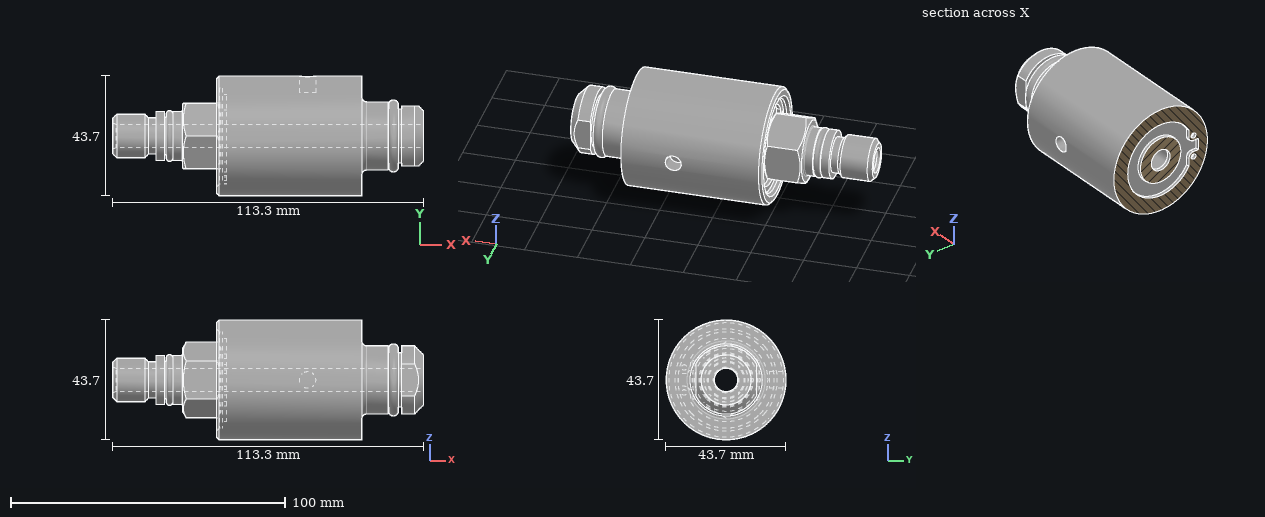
import cadquery as cq
import math


bore_dia = 8.5
mouth_dia = 9.4
mouth_depth = 1.2
total_length = 113.29

thread_dia = 15.96
neck_dia = 13.3
thread_chamfer = (thread_dia - neck_dia) / 2
tip_chamfer = 1.5
collar_dia = 17.99
rotor_groove_dia = 13.78
rotor_ring_width = 2.4
rotor_ring_dia = rotor_groove_dia + 2 * rotor_ring_width
thread_end = 13.05
collar_start = 15.7
rotor_groove_start = 18.9
rotor_groove_end = 21.9
hex_start = 25.4
hex_end = 39.5
collar_fillet = 0.4
hex_flats = 24.0
hex_corners = hex_flats / math.cos(math.pi / 6)
hex_face_dia = 22.9
hub_dia = 19.0
hex_chamfer_angle = math.radians(30)

drum_dia = 43.74
drum_start = 37.75
drum_chamfer = 1.0
drum_end = 90.8
recess_mouth_dia = 37.25
recess_dia = 35.08
recess_chamfer = (recess_mouth_dia - recess_dia) / 2
recess_depth = 3.75
recess_floor = drum_start + recess_depth
spigot_dia = 24.95
spigot_fillet = 1.75
housing_groove_dia = 19.84
housing_ring_width = 3.6
housing_ring_dia = 26.35
housing_groove_start = 100.4
housing_groove_end = 105.3
housing_ring_center = 102.3
nose_start = 110.0
nose_end_dia = 18.25
spigot_flats = 22.0
port_dia = 6.0
port_depth = 6.0
port_station = 71.0

clip_thickness = 1.5
clip_inner_dia = 30.4
clip_hole_dia = 1.98
clip_hole_y = -15.3
clip_hole_z = 4.55
clip_lug_radius = 2.25
clip_gap = 2 * (clip_hole_z - clip_lug_radius)


def disc(start, end, diameter):
    """Cylinder about the X axis between two stations."""
    return cq.Workplane("YZ", origin=(start, 0, 0)).circle(diameter / 2).extrude(end - start)


def revolve_about_x(profile):
    """Turn a closed (station, radius) profile about the X axis."""
    return profile.close().revolve(360, (0, 0, 0), (1, 0, 0))


def seal_ring(center, groove_dia, outer_dia, width):
    """Seal ring on a groove floor: straight sides below, half round above."""
    floor_radius = groove_dia / 2
    outer_radius = outer_dia / 2
    half = width / 2
    profile = (
        cq.Workplane("XY")
        .moveTo(center - half, floor_radius)
        .lineTo(center - half, outer_radius - half)
        .threePointArc((center, outer_radius), (center + half, outer_radius - half))
        .lineTo(center + half, floor_radius)
    )
    return revolve_about_x(profile)


def make_nipple():
    """Turned part of the rotor, ahead of the hexagon."""
    profile = (
        cq.Workplane("XY")
        .moveTo(0, 0)
        .lineTo(0, thread_dia / 2 - tip_chamfer)
        .lineTo(tip_chamfer, thread_dia / 2)
        .lineTo(thread_end - thread_chamfer, thread_dia / 2)
        .lineTo(thread_end, neck_dia / 2)
        .lineTo(collar_start, neck_dia / 2)
        .lineTo(collar_start, collar_dia / 2)
        .lineTo(rotor_groove_start, collar_dia / 2)
        .lineTo(rotor_groove_start, rotor_groove_dia / 2)
        .lineTo(rotor_groove_end, rotor_groove_dia / 2)
        .lineTo(rotor_groove_end, collar_dia / 2)
        .lineTo(hex_start - collar_fillet, collar_dia / 2)
        .radiusArc((hex_start, collar_dia / 2 + collar_fillet), -collar_fillet)
        .lineTo(hex_start, 0)
    )
    return revolve_about_x(profile)


def make_hexagon():
    """Hexagon with corners on Z, its corners turned off by a cone at both ends."""
    length = hex_end - hex_start
    prism = (
        cq.Workplane("YZ", origin=(hex_start, 0, 0))
        .transformed(rotate=(0, 0, 90))
        .polygon(6, hex_corners)
        .extrude(length)
    )
    cone_length = (hex_corners - hex_face_dia) / 2 * math.tan(hex_chamfer_angle)
    envelope = (
        cq.Workplane("XY")
        .moveTo(hex_start, 0)
        .lineTo(hex_start, hex_face_dia / 2)
        .lineTo(hex_start + cone_length, hex_corners / 2)
        .lineTo(hex_end - cone_length, hex_corners / 2)
        .lineTo(hex_end, hex_face_dia / 2)
        .lineTo(hex_end, 0)
    )
    return prism.intersect(revolve_about_x(envelope))


def make_mouth():
    """Tapered widening of the bore at the nipple tip."""
    profile = (
        cq.Workplane("XY")
        .moveTo(0, 0)
        .lineTo(0, mouth_dia / 2)
        .lineTo(mouth_depth, bore_dia / 2)
        .lineTo(mouth_depth, 0)
    )
    return revolve_about_x(profile)


def make_rotor():
    ring_center = rotor_groove_end - rotor_ring_width / 2
    rotor = make_nipple().union(make_hexagon())
    rotor = rotor.union(seal_ring(ring_center, rotor_groove_dia, rotor_ring_dia, rotor_ring_width))
    rotor = rotor.union(disc(hex_end, recess_floor, hub_dia))
    return rotor.cut(disc(0, recess_floor, bore_dia)).cut(make_mouth())


def make_drum():
    """Drum with a chamfered front rim and a chamfered front recess."""
    drum = disc(drum_start, drum_end, drum_dia).faces("<X").chamfer(drum_chamfer)
    recess = (
        cq.Workplane("XY")
        .moveTo(drum_start, 0)
        .lineTo(drum_start, recess_mouth_dia / 2)
        .lineTo(drum_start + recess_chamfer, recess_dia / 2)
        .lineTo(recess_floor, recess_dia / 2)
        .lineTo(recess_floor, 0)
    )
    return drum.cut(revolve_about_x(recess))


def make_spigot():
    """Rear spigot with a root fillet, seal groove, conical nose and two wrench flats."""
    spigot_radius = spigot_dia / 2
    profile = (
        cq.Workplane("XY")
        .moveTo(recess_floor, 0)
        .lineTo(recess_floor, spigot_radius)
        .lineTo(drum_end, spigot_radius)
        .lineTo(drum_end, spigot_radius + spigot_fillet)
        .radiusArc((drum_end + spigot_fillet, spigot_radius), -spigot_fillet)
        .lineTo(housing_groove_start, spigot_radius)
        .lineTo(housing_groove_start, housing_groove_dia / 2)
        .lineTo(housing_groove_end, housing_groove_dia / 2)
        .lineTo(housing_groove_end, spigot_radius)
        .lineTo(nose_start, spigot_radius)
        .lineTo(total_length, nose_end_dia / 2)
        .lineTo(total_length, 0)
    )
    spigot = revolve_about_x(profile)
    head_length = total_length - housing_groove_end
    for side in (-1, 1):
        flat_cut = cq.Workplane("XY").box(head_length, spigot_dia, spigot_dia).translate(
            (housing_groove_end + head_length / 2, side * (spigot_flats + spigot_dia) / 2, 0)
        )
        spigot = spigot.cut(flat_cut)
    return spigot


def make_port():
    """Blind radial port in the +Y side of the drum."""
    floor_y = drum_dia / 2 - port_depth
    port = cq.Workplane("XZ", origin=(port_station, floor_y, 0)).circle(port_dia / 2)
    return port.extrude(-2 * port_depth)


def make_retaining_ring():
    """Internal retaining ring, open toward -Y, with an eyelet lug on each side of the gap."""
    front = recess_floor - clip_thickness
    recess_radius = recess_dia / 2
    base = cq.Workplane("YZ", origin=(front, 0, 0))
    ring = disc(front, recess_floor, recess_dia).cut(disc(front, recess_floor, clip_inner_dia))
    ring = ring.cut(base.center(-recess_radius, 0).rect(recess_radius, clip_gap).extrude(clip_thickness))
    lug_inner_y = clip_hole_y + clip_lug_radius
    lug_root_z = math.sqrt((clip_inner_dia / 2) ** 2 - lug_inner_y**2)
    for side in (-1, 1):
        eyelet = base.center(clip_hole_y, side * clip_hole_z)
        web = (
            base.moveTo(lug_inner_y, side * clip_hole_z)
            .lineTo(lug_inner_y, side * lug_root_z)
            .lineTo(clip_hole_y, side * lug_root_z)
            .lineTo(clip_hole_y, side * clip_hole_z)
            .close()
            .extrude(clip_thickness)
        )
        ring = ring.union(eyelet.circle(clip_lug_radius).extrude(clip_thickness)).union(web)
        ring = ring.cut(eyelet.circle(clip_hole_dia / 2).extrude(clip_thickness))
    return ring.intersect(disc(front, recess_floor, recess_dia))


def make_housing():
    housing = make_drum().cut(make_port()).union(make_spigot()).union(make_retaining_ring())
    ring = seal_ring(housing_ring_center, housing_groove_dia, housing_ring_dia, housing_ring_width)
    housing = housing.union(ring)
    return housing.cut(disc(recess_floor, total_length, bore_dia))


rotor = make_rotor()
housing = make_housing()

result = cq.Compound.makeCompound([rotor.val(), housing.val()])